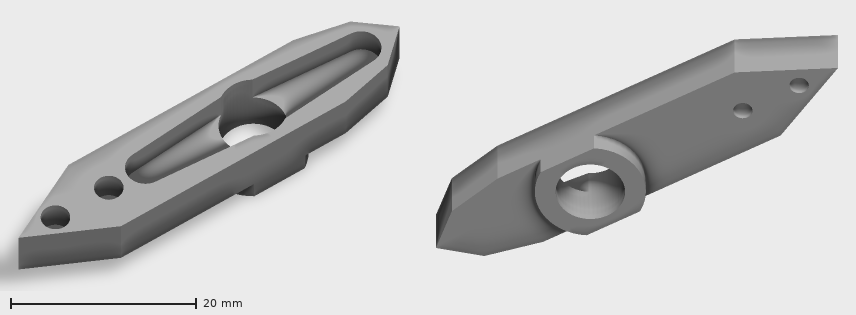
import cadquery as cq
import math

length = 50.0
width = 10.0
overall_height = 8.0
plate_thickness = 5.75
lower_shoulder_y = 10.0
upper_shoulder_y = 39.5
upper_corner_y = 46.0
upper_corner_half_width = 3.55

pivot_y = 30.8
bore_diameter = 7.5
boss_diameter = 12.0
boss_height = overall_height - plate_thickness

pocket_depth = 3.25
pocket_mid_half_width = 3.3
pocket_end_radius = 2.2
pocket_end_offset = 14.15

screw_hole_diameter = 2.1
counterbore_diameter = 3.2
counterbore_depth = 3.5
screw_count = 2
first_screw_y = 4.85
screw_spacing = 7.0


def make_plate():
    half_width = width / 2
    right_side = [
        (half_width, lower_shoulder_y),
        (half_width, upper_shoulder_y),
        (upper_corner_half_width, upper_corner_y),
    ]
    left_side = [(-x, y) for x, y in reversed(right_side)]
    outline = [(0, 0)] + right_side + [(0, length)] + left_side
    return cq.Workplane("XY").polyline(outline).close().extrude(plate_thickness)


def make_boss():
    """Round boss trimmed flush with the long sides of the plate."""
    disc = (
        cq.Workplane("XY")
        .center(0, pivot_y)
        .circle(boss_diameter / 2)
        .extrude(-boss_height)
    )
    trim = (
        cq.Workplane("XY")
        .center(0, pivot_y)
        .rect(width, boss_diameter)
        .extrude(-boss_height)
    )
    return disc.intersect(trim)


def make_pocket():
    """Double taper whose straight sides run tangent into the end arcs."""
    corner_to_center = math.hypot(pocket_mid_half_width, pocket_end_offset)
    lean = math.asin(pocket_mid_half_width / corner_to_center) - math.asin(
        pocket_end_radius / corner_to_center
    )
    tangent_x = pocket_end_radius * math.cos(lean)
    tangent_y = pocket_end_offset + pocket_end_radius * math.sin(lean)
    end_y = pocket_end_offset + pocket_end_radius
    return (
        cq.Workplane("XY", origin=(0, pivot_y, plate_thickness))
        .moveTo(pocket_mid_half_width, 0)
        .lineTo(tangent_x, tangent_y)
        .threePointArc((0, end_y), (-tangent_x, tangent_y))
        .lineTo(-pocket_mid_half_width, 0)
        .lineTo(-tangent_x, -tangent_y)
        .threePointArc((0, -end_y), (tangent_x, -tangent_y))
        .close()
        .extrude(-pocket_depth)
    )


def cut_bore(body):
    return (
        body.faces(">Z")
        .workplane(origin=(0, pivot_y, plate_thickness))
        .hole(bore_diameter)
    )


def cut_screw_holes(body):
    centers = [(0, first_screw_y + i * screw_spacing) for i in range(screw_count)]
    return (
        body.faces(">Z")
        .workplane(origin=(0, 0, plate_thickness))
        .pushPoints(centers)
        .cboreHole(screw_hole_diameter, counterbore_diameter, counterbore_depth)
    )


body = make_plate().union(make_boss()).cut(make_pocket())
result = cut_screw_holes(cut_bore(body))